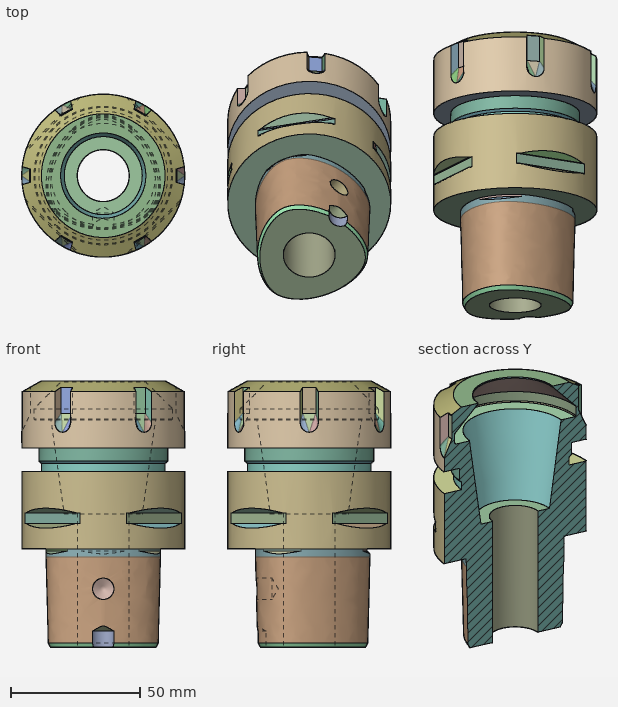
import cadquery as cq
import math

total_height = 103.0
body_radius = 31.5

lobe_mean_radius = 22.1
lobe_eccentricity = 1.3
shank_length = 38.1
gauge_height = 35.0
taper_per_length = 1 / 40
tip_chamfer_height = 1.6
tip_chamfer_inset = 0.9
through_bore_radius = 10.0

relief_radius = 22.4
relief_bottom = 35.8
relief_cone_top = 37.3

flange_top = 68.0
gripper_slot_count = 4
gripper_slot_turn = 45.0
gripper_slot_floor = 27.7
gripper_slot_height = 4.0
gripper_slot_mid = 50.0
gripper_flare_start = 28.3
gripper_flare_angle = 30.0

collar_radius = 24.9
collar_bottom = 71.1
collar_chamfer = 0.9
neck_radius = 23.9
collar_top = 87.9

seat_mouth_radius = 20.2
seat_angle = 8.0
seat_floor = 51.5

nut_bottom = 77.0
nut_top_radius = 23.9
nut_shoulder = 98.8
nut_opening_radius = 16.5
nut_lip_height = 0.5
nut_hollow_radius = 26.8
nut_hollow_chamfer = 0.4

wrench_slot_count = 6
wrench_slot_floor = 28.1
wrench_slot_floor_width = 5.0
wrench_slot_mouth_width = 7.1
wrench_slot_tip = 83.1
wrench_slot_runout = 90.3
wrench_slot_top = 100.4
wrench_slot_floor_corner = 0.1
wrench_slot_mouth_corner = 3.5

drill_tip_angle = 118.0
side_hole_radius = 4.1
side_hole_height = 22.7
side_hole_inner = 14.4
notch_radius = 4.4
notch_offset = 21.2
notch_height = 6.3

spline_points = 48
overrun = 5.2


def revolve_profile(points):
    """Solid of revolution about Z from (radius, height) points."""
    return cq.Workplane("XZ").polyline(points).close().revolve(360, (0, 0), (0, 1))


def lobe_wire(height, mean_radius):
    """Closed three-lobed outline with one lobe towards +Y."""
    def point(angle):
        along = (
            mean_radius * math.cos(angle)
            - 2 * lobe_eccentricity * math.cos(2 * angle)
            + lobe_eccentricity * math.cos(4 * angle)
        )
        across = (
            mean_radius * math.sin(angle)
            + 2 * lobe_eccentricity * math.sin(2 * angle)
            + lobe_eccentricity * math.sin(4 * angle)
        )
        return cq.Vector(across, -along, height)

    points = [point(2 * math.pi * i / spline_points) for i in range(spline_points)]
    return cq.Wire.assembleEdges([cq.Edge.makeSpline(points, periodic=True)])


def make_shank():
    tip_radius = lobe_mean_radius - taper_per_length * (gauge_height - tip_chamfer_height)
    sections = [
        lobe_wire(0, tip_radius - tip_chamfer_inset),
        lobe_wire(tip_chamfer_height, tip_radius),
        lobe_wire(gauge_height, lobe_mean_radius),
        lobe_wire(shank_length, lobe_mean_radius),
    ]
    shank = cq.Workplane(cq.Solid.makeLoft(sections, True))
    outside = lobe_mean_radius + overrun
    cone_growth = relief_cone_top - relief_bottom
    relief = revolve_profile([
        (relief_radius, shank_length),
        (relief_radius, relief_cone_top),
        (relief_radius + cone_growth, relief_bottom),
        (outside, relief_bottom),
        (outside, shank_length),
    ])
    return shank.cut(relief)


def make_body():
    """Flange, neck, collar and nut, all turned about Z."""
    return revolve_profile([
        (0, shank_length),
        (body_radius, shank_length),
        (body_radius, flange_top),
        (neck_radius, flange_top),
        (neck_radius, collar_bottom),
        (collar_radius, collar_bottom + collar_chamfer),
        (collar_radius, nut_bottom),
        (body_radius, nut_bottom),
        (body_radius, nut_shoulder),
        (nut_top_radius, total_height),
        (0, total_height),
    ])


def bore_cutter():
    """Through bore, tapered collet seat and the hollow inside the nut."""
    seat_drop = collar_top - seat_floor
    seat_floor_radius = seat_mouth_radius - seat_drop * math.tan(math.radians(seat_angle))
    lip_bottom = total_height - nut_lip_height
    cone_drop = nut_hollow_radius - nut_opening_radius
    return revolve_profile([
        (0, 0),
        (through_bore_radius, 0),
        (through_bore_radius, seat_floor),
        (seat_floor_radius, seat_floor),
        (seat_mouth_radius, collar_top),
        (nut_hollow_radius - nut_hollow_chamfer, collar_top),
        (nut_hollow_radius, collar_top + nut_hollow_chamfer),
        (nut_hollow_radius, lip_bottom - cone_drop),
        (nut_opening_radius, lip_bottom),
        (nut_opening_radius, total_height),
        (0, total_height),
    ])


def gripper_slot_cutter():
    """Straight slot across the +X side of the flange, with flared sides."""
    half_height = gripper_slot_height / 2
    outside = body_radius + overrun
    flare = (outside - gripper_flare_start) * math.tan(math.radians(gripper_flare_angle))
    profile = [
        (gripper_slot_floor, -half_height),
        (gripper_flare_start, -half_height),
        (outside, -half_height - flare),
        (outside, half_height + flare),
        (gripper_flare_start, half_height),
        (gripper_slot_floor, half_height),
    ]
    slot = cq.Workplane("XZ").polyline(profile).close().extrude(body_radius, both=True)
    return slot.translate((0, 0, gripper_slot_mid))


def wrench_slot_section(distance, width, bottom, corner_radius):
    """Outline of the wrench slot at a distance from the axis, rounded at its lower corners."""
    half_width = width / 2
    flat = half_width - corner_radius
    corner_height = bottom + corner_radius
    mid_offset = corner_radius * math.sqrt(0.5)
    outline = (
        cq.Workplane("YZ", origin=(distance, 0, 0))
        .moveTo(-half_width, wrench_slot_top)
        .lineTo(-half_width, corner_height)
        .threePointArc((-flat - mid_offset, corner_height - mid_offset), (-flat, bottom))
        .lineTo(flat, bottom)
        .threePointArc((flat + mid_offset, corner_height - mid_offset), (half_width, corner_height))
        .lineTo(half_width, wrench_slot_top)
        .close()
    )
    return outline.val()


def wrench_slot_cutter():
    """Slot on the +X side of the nut whose sharp floor end runs out to a round end at the mouth."""
    floor_section = wrench_slot_section(
        wrench_slot_floor, wrench_slot_floor_width, wrench_slot_runout, wrench_slot_floor_corner
    )
    mouth_section = wrench_slot_section(
        body_radius, wrench_slot_mouth_width, wrench_slot_tip, wrench_slot_mouth_corner
    )
    return cq.Workplane(cq.Solid.makeLoft([floor_section, mouth_section], True))


def drill_cutter(radius, straight_length):
    """Drill along +Z from the origin, with a pointed tip."""
    tip_length = radius / math.tan(math.radians(drill_tip_angle / 2))
    return revolve_profile([
        (0, 0),
        (radius, 0),
        (radius, straight_length),
        (0, straight_length + tip_length),
    ])


def around_axis(cutter, count, start_angle=0.0):
    """Copies of a cutter spaced evenly about Z."""
    for i in range(count):
        yield cutter.rotate((0, 0, 0), (0, 0, 1), start_angle + i * 360 / count)


result = make_shank().union(make_body()).cut(bore_cutter())

for cutter in around_axis(gripper_slot_cutter(), gripper_slot_count, gripper_slot_turn):
    result = result.cut(cutter)

for cutter in around_axis(wrench_slot_cutter(), wrench_slot_count):
    result = result.cut(cutter)

side_hole = drill_cutter(side_hole_radius, body_radius - side_hole_inner)
side_hole = side_hole.rotate((0, 0, 0), (1, 0, 0), -90)
result = result.cut(side_hole.translate((0, -body_radius, side_hole_height)))

notch = drill_cutter(notch_radius, notch_height)
result = result.cut(notch.translate((0, -notch_offset, 0)))